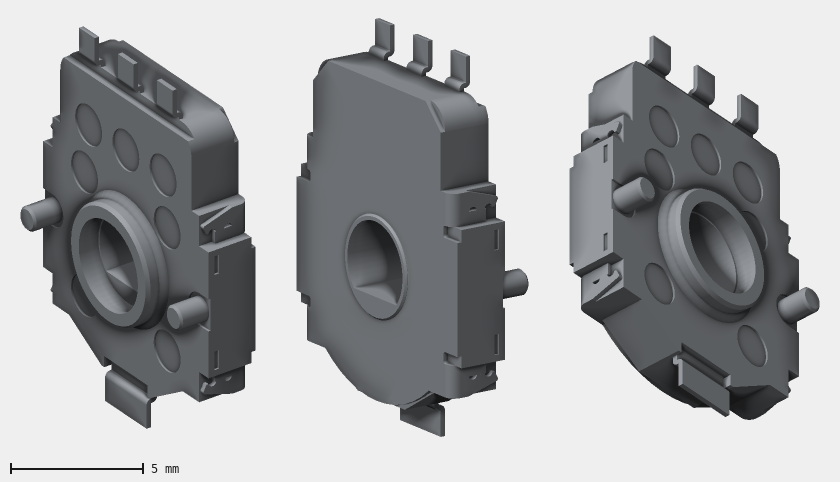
import cadquery as cq


HOUSING_DEPTH = 2.0
HEAD_TOP = 7.33
HEAD_HALF_WIDTH = 4.2
HEAD_RADIUS = 1.0
SHOULDER_HALF_WIDTH = 4.7
SHOULDER_HEIGHT = 4.03
BLOCK_HALF_WIDTH = 5.3
BLOCK_HALF_HEIGHT = 2.73
TAPER_HALF_WIDTH = 3.65
FOOT_HALF_WIDTH = 1.55
FOOT_BOTTOM = -5.28

BUSHING_LENGTH = 0.82
BUSHING_BASE_RADIUS = 2.75
BUSHING_RADIUS = 2.5
BUSHING_CONE_LENGTH = 0.25
BUSHING_CHAMFER_LENGTH = 0.15
BUSHING_CHAMFER_WIDTH = 0.11
BUSHING_BORE_RADIUS = 1.9

PEG_OFFSET = 4.7
PEG_RADIUS = 0.51
PEG_LENGTH = 1.2
PEG_CHAMFER = 0.1
PEG_RECESS_RADIUS = 0.7

SHALLOW_DEPTH = 0.1
MARK_RADIUS = 0.86
MARK_CENTERS = [
    (-2.39, 4.75), (0, 4.75), (2.39, 4.75),
    (-2.65, 2.59), (2.65, 2.59),
    (-2.65, -2.75), (2.65, -2.75),
]
SLIT_LENGTH = 0.8
SLIT_CENTER_HEIGHT = 2.06

SHEET = 0.2
BEND_INNER_RADIUS = 0.03
BEND_OUTER_RADIUS = BEND_INNER_RADIUS + SHEET
TERMINAL_INNER_FACE = 0.3
TERMINAL_BACK = TERMINAL_INNER_FACE + SHEET
CONTACT_COUNT = 3
CONTACT_PITCH = 2.5
CONTACT_WIDTH = 1.0
CONTACT_JOG = 0.12
CONTACT_TIP = 8.69
HEAD_STEP_BOTTOM = 6.95

TAIL_WIDTH = 2.66
TAIL_ROOT = -4.8
TAIL_JOG = 0.66
TAIL_TIP = -6.71
TAIL_NOTCH_WIDTH = 2.77

COVER_BACK = HOUSING_DEPTH + SHEET
TAB_BEND_INNER_RADIUS = 0.22
TAB_BEND_OUTER_RADIUS = TAB_BEND_INNER_RADIUS + SHEET
TAB_BEND_X = SHOULDER_HALF_WIDTH - TAB_BEND_INNER_RADIUS
TAB_BEND_Y = COVER_BACK - TAB_BEND_OUTER_RADIUS
WING_HALF_HEIGHT = 2.25
RELIEF_BOTTOM_X = 4.39
RELIEF_CORNER_RADIUS = 0.11
LUG_FRONT = 0.6
LUG_BACK = 1.39
LUG_TOP = 3.25
TAB_SLOPE_START = (1.4, SHOULDER_HEIGHT)
TAB_SLOPE_END = (0.14, 3.65)
TAB_NOSE_MIDDLE = (0.06, 3.59)
TAB_NOSE_END = (0.08, 3.5)
TAB_HOOK_POINT = (0.2, LUG_TOP)
TAB_RELIEF_RADIUS = 0.18
TAB_RELIEF_DEPTHS = (0.48, 1.2)
TAB_RELIEF_HEIGHT = 3.22

ROTOR_RADIUS = 2.05
ROTOR_FRONT = 0.1
ROTOR_BACK = COVER_BACK + 0.1
ROTOR_CHAMFER = 0.08
ROTOR_BORE_RADIUS = 1.82
ROTOR_FLAT_HEIGHT = -1.15


def front_plane(y):
    """Sketch plane with local axes X and Z, placed at depth y."""
    return cq.Workplane("XZ", origin=(0, y, 0))


def disc(radius, y_start, y_end, x=0, z=0):
    return front_plane(y_start).center(x, z).circle(radius).extrude(y_start - y_end)


def block(x_range, y_range, z_range):
    """Rectangular block between the given limits."""
    sizes = [high - low for low, high in (x_range, y_range, z_range)]
    return cq.Workplane("XY").box(*sizes, centered=False).translate((x_range[0], y_range[0], z_range[0]))


def at_four_corners(shape):
    """The given upper right shape and its mirror images to the left and below."""
    right_pair = [shape, shape.mirror("XY")]
    return right_pair + [half.mirror("YZ") for half in right_pair]


def outline_plate(right_side, y_start, y_end):
    """Plate whose outline is the given right side, from bottom to top, and its mirror image."""
    left_side = [(-x, z) for x, z in reversed(right_side)]
    return front_plane(y_start).polyline(right_side + left_side).close().extrude(y_start - y_end)


def tab_bend_cylinder(radius):
    """Cylinder around the bend axis of the upper right tab, over the height of the tab."""
    bottom = cq.Workplane("XY", origin=(TAB_BEND_X, TAB_BEND_Y, BLOCK_HALF_HEIGHT))
    return bottom.circle(radius).extrude(SHOULDER_HEIGHT - BLOCK_HALF_HEIGHT)


def make_bushing():
    profile = [
        (0, 0),
        (BUSHING_BASE_RADIUS, 0),
        (BUSHING_RADIUS, -BUSHING_CONE_LENGTH),
        (BUSHING_RADIUS, BUSHING_CHAMFER_LENGTH - BUSHING_LENGTH),
        (BUSHING_RADIUS - BUSHING_CHAMFER_WIDTH, -BUSHING_LENGTH),
        (0, -BUSHING_LENGTH),
    ]
    return cq.Workplane("XY").polyline(profile).close().revolve(360, (0, 0, 0), (0, 1, 0))


def make_housing():
    right_side = [
        (FOOT_HALF_WIDTH, FOOT_BOTTOM),
        (TAPER_HALF_WIDTH, -SHOULDER_HEIGHT),
        (SHOULDER_HALF_WIDTH, -SHOULDER_HEIGHT),
        (SHOULDER_HALF_WIDTH, -BLOCK_HALF_HEIGHT),
        (BLOCK_HALF_WIDTH, -BLOCK_HALF_HEIGHT),
        (BLOCK_HALF_WIDTH, BLOCK_HALF_HEIGHT),
        (SHOULDER_HALF_WIDTH, BLOCK_HALF_HEIGHT),
        (SHOULDER_HALF_WIDTH, SHOULDER_HEIGHT),
        (HEAD_HALF_WIDTH, SHOULDER_HEIGHT),
        (HEAD_HALF_WIDTH, HEAD_TOP),
    ]
    body = outline_plate(right_side, 0, HOUSING_DEPTH).edges("|Y and >Z").fillet(HEAD_RADIUS)

    body = body.cut(
        block((-HEAD_HALF_WIDTH, HEAD_HALF_WIDTH), (0, TERMINAL_INNER_FACE), (HEAD_STEP_BOTTOM, HEAD_TOP))
    )
    half_notch = TAIL_NOTCH_WIDTH / 2
    body = body.cut(block((-half_notch, half_notch), (0, TERMINAL_BACK), (FOOT_BOTTOM, TAIL_ROOT)))

    for x, z in MARK_CENTERS:
        body = body.cut(disc(MARK_RADIUS, 0, SHALLOW_DEPTH, x, z))

    body = body.union(make_bushing())
    body = body.cut(disc(BUSHING_BORE_RADIUS, -BUSHING_LENGTH, HOUSING_DEPTH))
    body = body.cut(disc(ROTOR_RADIUS, ROTOR_FRONT, HOUSING_DEPTH))

    for side in (-1, 1):
        peg_x = side * PEG_OFFSET
        side_range = sorted((peg_x, side * BLOCK_HALF_WIDTH))
        body = body.cut(disc(PEG_RECESS_RADIUS, 0, SHALLOW_DEPTH, peg_x))
        body = body.cut(block(side_range, (0, SHALLOW_DEPTH), (-PEG_RECESS_RADIUS, PEG_RECESS_RADIUS)))
        peg = disc(PEG_RADIUS, -PEG_LENGTH, SHALLOW_DEPTH, peg_x)
        body = body.union(peg.faces("<Y").chamfer(PEG_CHAMFER))

    slit = block(
        (BLOCK_HALF_WIDTH - SHALLOW_DEPTH, BLOCK_HALF_WIDTH),
        (TERMINAL_INNER_FACE, TERMINAL_BACK),
        (SLIT_CENTER_HEIGHT - SLIT_LENGTH / 2, SLIT_CENTER_HEIGHT + SLIT_LENGTH / 2),
    )
    lug = block(
        (SHOULDER_HALF_WIDTH, SHOULDER_HALF_WIDTH + SHEET),
        (LUG_FRONT, LUG_BACK),
        (BLOCK_HALF_HEIGHT, LUG_TOP),
    )
    edge_stock = block(
        (TAB_BEND_X, SHOULDER_HALF_WIDTH),
        (TAB_BEND_Y, HOUSING_DEPTH),
        (BLOCK_HALF_HEIGHT, SHOULDER_HEIGHT),
    )
    bend_core = tab_bend_cylinder(TAB_BEND_INNER_RADIUS)
    for corner_slit in at_four_corners(slit):
        body = body.cut(corner_slit)
    for corner_waste in at_four_corners(edge_stock.cut(bend_core)):
        body = body.cut(corner_waste)
    for corner_lug in at_four_corners(lug):
        body = body.union(corner_lug)
    return body


def make_tab():
    """Upper right cover tab: a quarter bend and a leg with a sloped hook around the lug."""
    height_range = (BLOCK_HALF_HEIGHT, SHOULDER_HEIGHT)
    quarter = block(
        (TAB_BEND_X, TAB_BEND_X + TAB_BEND_OUTER_RADIUS),
        (TAB_BEND_Y, COVER_BACK),
        height_range,
    )
    ring = tab_bend_cylinder(TAB_BEND_OUTER_RADIUS).cut(tab_bend_cylinder(TAB_BEND_INNER_RADIUS))
    bend = ring.intersect(quarter)

    leg = (
        cq.Workplane("YZ", origin=(SHOULDER_HALF_WIDTH, 0, 0))
        .moveTo(TAB_BEND_Y, SHOULDER_HEIGHT)
        .lineTo(*TAB_SLOPE_START)
        .lineTo(*TAB_SLOPE_END)
        .threePointArc(TAB_NOSE_MIDDLE, TAB_NOSE_END)
        .lineTo(*TAB_HOOK_POINT)
        .lineTo(LUG_BACK, LUG_TOP)
        .lineTo(LUG_BACK, BLOCK_HALF_HEIGHT)
        .lineTo(TAB_BEND_Y, BLOCK_HALF_HEIGHT)
        .close()
        .extrude(SHEET)
    )
    reliefs = (
        cq.Workplane("YZ", origin=(SHOULDER_HALF_WIDTH, 0, 0))
        .pushPoints([(y, TAB_RELIEF_HEIGHT) for y in TAB_RELIEF_DEPTHS])
        .circle(TAB_RELIEF_RADIUS)
        .extrude(SHEET)
    )
    return bend.union(leg.cut(reliefs))


def make_tab_relief():
    """Slot below the upper right tab, open to the side, with a rounded bottom."""
    slot = block(
        (RELIEF_BOTTOM_X, BLOCK_HALF_WIDTH),
        (HOUSING_DEPTH, COVER_BACK),
        (WING_HALF_HEIGHT, BLOCK_HALF_HEIGHT),
    )
    return slot.edges("|Y and <X").fillet(RELIEF_CORNER_RADIUS)


def make_cover():
    depth_range = (HOUSING_DEPTH, COVER_BACK)
    middle = block((-TAB_BEND_X, TAB_BEND_X), depth_range, (-SHOULDER_HEIGHT, SHOULDER_HEIGHT))
    head = block((-HEAD_HALF_WIDTH, HEAD_HALF_WIDTH), depth_range, (SHOULDER_HEIGHT, HEAD_TOP))
    head = head.edges("|Y and >Z").chamfer(HEAD_RADIUS)
    wings = block(
        (-BLOCK_HALF_WIDTH, BLOCK_HALF_WIDTH),
        depth_range,
        (-WING_HALF_HEIGHT, WING_HALF_HEIGHT),
    )

    below_shoulders = block(
        (-TAPER_HALF_WIDTH, TAPER_HALF_WIDTH), depth_range, (FOOT_BOTTOM, -SHOULDER_HEIGHT)
    )
    foot = disc(-FOOT_BOTTOM, HOUSING_DEPTH, COVER_BACK).intersect(below_shoulders)

    plate = middle.union(head).union(wings).union(foot)
    for relief in at_four_corners(make_tab_relief()):
        plate = plate.cut(relief)
    for tab in at_four_corners(make_tab()):
        plate = plate.union(tab)
    return plate.cut(disc(ROTOR_RADIUS, HOUSING_DEPTH, COVER_BACK))


def make_rotor():
    body = disc(ROTOR_RADIUS, ROTOR_FRONT, ROTOR_BACK).faces(">Y").chamfer(ROTOR_CHAMFER)
    bore = disc(ROTOR_BORE_RADIUS, ROTOR_FRONT, ROTOR_BACK)
    d_limit = block(
        (-ROTOR_BORE_RADIUS, ROTOR_BORE_RADIUS),
        (ROTOR_FRONT, ROTOR_BACK),
        (ROTOR_FLAT_HEIGHT, ROTOR_BORE_RADIUS),
    )
    return body.cut(bore.intersect(d_limit))


def make_terminal(width, jog, tip):
    """Upright strip from z = 0 to tip, stepping forward to the mounting face at height jog."""
    first_bend_y = TERMINAL_INNER_FACE - BEND_INNER_RADIUS
    first_bend_z = jog - BEND_INNER_RADIUS
    second_bend_y = BEND_OUTER_RADIUS
    second_bend_z = jog + BEND_OUTER_RADIUS
    return (
        cq.Workplane("YZ")
        .moveTo(TERMINAL_BACK, 0)
        .lineTo(TERMINAL_BACK, first_bend_z)
        .radiusArc((first_bend_y, jog + SHEET), -BEND_OUTER_RADIUS)
        .lineTo(second_bend_y, jog + SHEET)
        .radiusArc((SHEET, second_bend_z), BEND_INNER_RADIUS)
        .lineTo(SHEET, tip)
        .lineTo(0, tip)
        .lineTo(0, second_bend_z)
        .radiusArc((second_bend_y, jog), -BEND_OUTER_RADIUS)
        .lineTo(first_bend_y, jog)
        .radiusArc((TERMINAL_INNER_FACE, first_bend_z), BEND_INNER_RADIUS)
        .lineTo(TERMINAL_INNER_FACE, 0)
        .close()
        .extrude(width / 2, both=True)
    )


def make_contact(index):
    """One of the narrow terminals on the top edge."""
    x = (index - (CONTACT_COUNT - 1) / 2) * CONTACT_PITCH
    return make_terminal(CONTACT_WIDTH, CONTACT_JOG, CONTACT_TIP - HEAD_TOP).translate((x, 0, HEAD_TOP))


def make_tail():
    """The wide terminal hanging from the notch in the foot."""
    strip = make_terminal(TAIL_WIDTH, TAIL_JOG, TAIL_ROOT - TAIL_TIP)
    return strip.mirror("XY").translate((0, 0, TAIL_ROOT))


housing = make_housing()
cover = make_cover()
rotor = make_rotor()
contacts = [make_contact(index) for index in range(CONTACT_COUNT)]
tail = make_tail()

result = cq.Compound.makeCompound(
    [housing.val(), cover.val(), rotor.val(), *[contact.val() for contact in contacts], tail.val()]
)